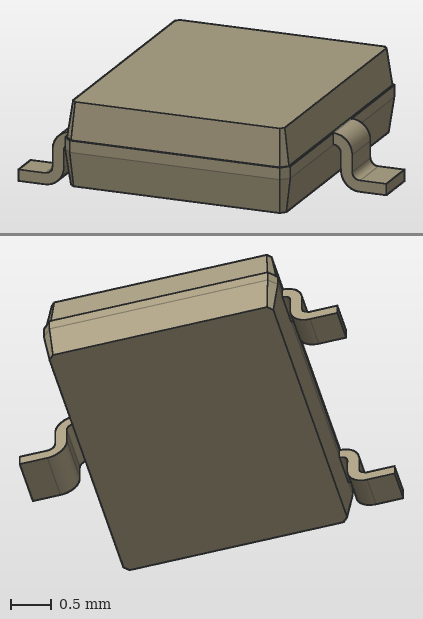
import cadquery as cq
import math

span = 4.4
height = 1.2

body_length = 2.99
body_width = 3.6
corner_chamfer = 0.1
draft_angle = 8.0
standoff = 0.11
ledge = 0.02

lead_thickness = 0.15
bend_radius = 0.1
lead_top = 0.72
narrow_lead_width = 0.4
narrow_lead_offset = 1.295
wide_lead_width = 0.6

outer_radius = bend_radius + lead_thickness
band_bottom = lead_top - lead_thickness


def body_layer(z, depth, inset=0.0, draft=0.0):
    """Chamfered rectangular slab from height z; negative depth goes down."""
    chamfer = corner_chamfer - inset * (2 - math.sqrt(2))
    half_x = body_length / 2 - inset
    half_y = body_width / 2 - inset
    points = [
        (half_x - chamfer, -half_y),
        (half_x, -half_y + chamfer),
        (half_x, half_y - chamfer),
        (half_x - chamfer, half_y),
        (-half_x + chamfer, half_y),
        (-half_x, half_y - chamfer),
        (-half_x, -half_y + chamfer),
        (-half_x + chamfer, -half_y),
    ]
    return cq.Workplane("XY").workplane(offset=z).polyline(points).close().extrude(depth, taper=draft)


def make_body():
    band = body_layer(band_bottom, lead_thickness)
    upper = body_layer(lead_top, height - lead_top, ledge, draft_angle)
    lower = body_layer(band_bottom, standoff - band_bottom, draft=draft_angle)
    return band.union(upper).union(lower)


def make_lead(width, y_center):
    """S-shaped lead on the +X side, running from inside the body to its foot."""
    root = body_length / 2 - outer_radius
    bend_start = body_length / 2
    inner_face = bend_start + bend_radius
    outer_face = inner_face + lead_thickness
    foot_start = outer_face + bend_radius
    tip = span / 2
    diagonal = math.sqrt(0.5)

    def bend_middle(center_x, center_z, radius, sign):
        return center_x + sign * radius * diagonal, center_z + sign * radius * diagonal

    upper_center = (bend_start, lead_top - outer_radius)
    lower_center = (foot_start, outer_radius)
    return (
        cq.Workplane("XZ", origin=(0, y_center, 0))
        .moveTo(root, lead_top)
        .lineTo(bend_start, lead_top)
        .threePointArc(bend_middle(*upper_center, outer_radius, 1), (outer_face, lead_top - outer_radius))
        .lineTo(outer_face, outer_radius)
        .threePointArc(bend_middle(*lower_center, bend_radius, -1), (foot_start, lead_thickness))
        .lineTo(tip, lead_thickness)
        .lineTo(tip, 0)
        .lineTo(foot_start, 0)
        .threePointArc(bend_middle(*lower_center, outer_radius, -1), (inner_face, outer_radius))
        .lineTo(inner_face, lead_top - outer_radius)
        .threePointArc(bend_middle(*upper_center, bend_radius, 1), (bend_start, band_bottom))
        .lineTo(root, band_bottom)
        .close()
        .extrude(width / 2, both=True)
    )


result = make_body().union(make_lead(wide_lead_width, 0))
for y_center in (-narrow_lead_offset, narrow_lead_offset):
    result = result.union(make_lead(narrow_lead_width, y_center).mirror("YZ"))